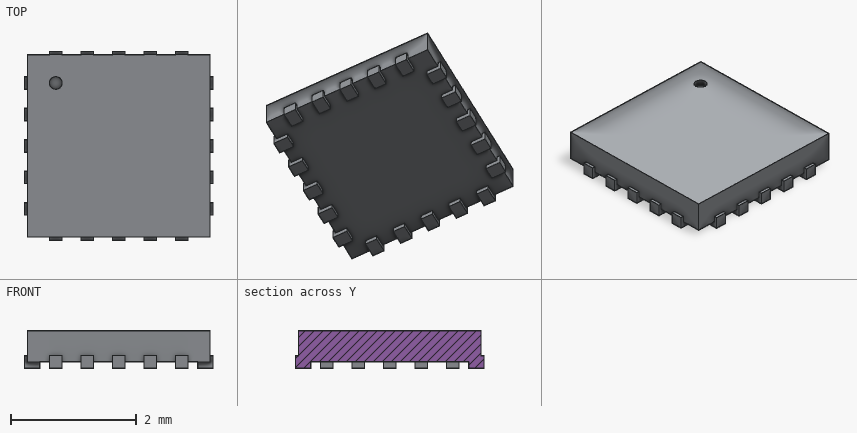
import cadquery as cq

overall_side = 3.0
overall_height = 0.6

pins_per_side = 5
pin_pitch = overall_side / (pins_per_side + 1)
pin_width = 0.2
pin_height = 0.2
pin_length = 0.25
pin_overhang = 0.05

body_side = overall_side - 2 * pin_overhang
body_standoff = pin_height / 2
body_height = overall_height - body_standoff

mark_diameter = 0.2
mark_depth = 0.1
mark_offset = 2 * pin_pitch


def make_body():
    """Square slab with the blind pin-one mark in its top face."""
    slab = (
        cq.Workplane("XY")
        .workplane(offset=body_standoff)
        .rect(body_side, body_side)
        .extrude(body_height)
    )
    mark = (
        cq.Workplane("XY")
        .workplane(offset=overall_height - mark_depth)
        .center(-mark_offset, mark_offset)
        .circle(mark_diameter / 2)
        .extrude(mark_depth)
    )
    return slab.cut(mark)


def make_pin_row():
    """Row of terminals along the -Y side, with outer ends on the envelope."""
    first_x = -pin_pitch * (pins_per_side - 1) / 2
    centre_y = (pin_length - overall_side) / 2
    centres = [(first_x + i * pin_pitch, centre_y) for i in range(pins_per_side)]
    return (
        cq.Workplane("XY")
        .pushPoints(centres)
        .rect(pin_width, pin_length)
        .extrude(pin_height)
    )


result = make_body()
pin_row = make_pin_row()
for angle in (0, 90, 180, 270):
    result = result.union(pin_row.rotate((0, 0, 0), (0, 0, 1), angle))